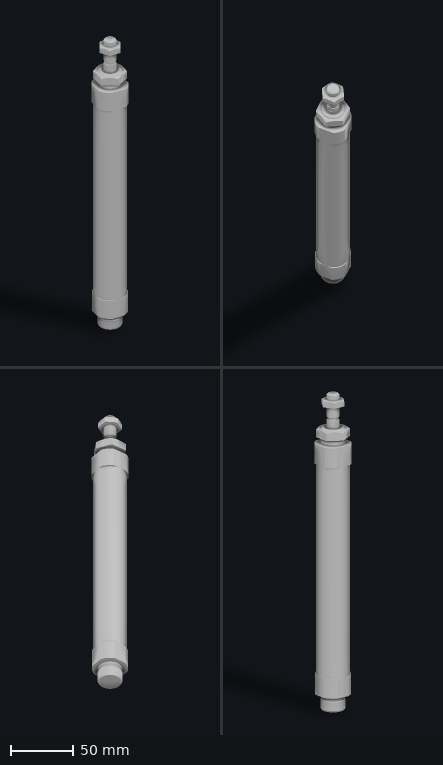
import cadquery as cq
import math

TOTAL_LENGTH = 265.5
REAR_CAP_BOTTOM = 13.3
FRONT_CAP_TOP = 223.7
CAP_LENGTH = 16.7
FRONT_THREAD_END = 237.0

TUBE_DIAMETER = 27.0
CAP_ACROSS_FLATS = 27.0
FRONT_CAP_ROUND_DIAMETER = 30.0
REAR_CAP_ROUND_DIAMETER = 29.0

MOUNT_THREAD_DIAMETER = 20.0
FRONT_RELIEF_DIAMETER = 17.0
REAR_RELIEF_DIAMETER = 18.3
MOUNT_TIP_DIAMETER = 18.3
MOUNT_TIP_CHAMFER_HEIGHT = 1.3
RELIEF_SHOULDER = 1.5
FRONT_RELIEF_WIDTH = 3.2
REAR_RELIEF_WIDTH = 3.2
ROD_RECESS_DIAMETER = 14.0
ROD_RECESS_DEPTH = 0.8

ROD_DIAMETER = 10.0
ROD_TIP_CHAMFER = 0.8
ROD_NECK_DIAMETER = 8.5
ROD_NECK_BOTTOM = 243.6
ROD_THREAD_START = 246.0
ROD_FLAT_BOTTOM = 238.9
ROD_ACROSS_FLATS = 9.0

ROD_NUT_ACROSS_CORNERS = 19.6
ROD_NUT_BOTTOM = 255.3
ROD_NUT_HEIGHT = 5.0
MOUNT_NUT_ACROSS_CORNERS = 27.5
MOUNT_NUT_BOTTOM = 229.0
MOUNT_NUT_HEIGHT = 7.2
NUT_CHAMFER_ANGLE = 30.0
HALF_HEX_ANGLE = 30.0


def cylinder(diameter, bottom, height):
    """Upright cylinder on the Z axis."""
    return cq.Workplane("XY").workplane(offset=bottom).circle(diameter / 2).extrude(height)


def turned(profile):
    """Solid of revolution from (radius, height) points that start and end on the Z axis."""
    return cq.Workplane("XZ").polyline(profile).close().revolve(360, (0, 0), (0, 1))


def end_cap(round_diameter, bottom):
    """Square cap whose four corners are rounded by a larger cylinder."""
    base = cq.Workplane("XY").workplane(offset=bottom)
    block = base.rect(CAP_ACROSS_FLATS, CAP_ACROSS_FLATS).extrude(CAP_LENGTH)
    return block.intersect(cylinder(round_diameter, bottom, CAP_LENGTH))


def mount_stud(length, relief_diameter, relief_width):
    """Threaded stud rising from Z = 0, with a chamfered relief groove near its root."""
    thread_radius = MOUNT_THREAD_DIAMETER / 2
    relief_radius = relief_diameter / 2
    slope = thread_radius - relief_radius
    groove_end = RELIEF_SHOULDER + relief_width
    return turned([
        (0, 0),
        (thread_radius, 0),
        (thread_radius, RELIEF_SHOULDER),
        (relief_radius, RELIEF_SHOULDER + slope),
        (relief_radius, groove_end - slope),
        (thread_radius, groove_end),
        (thread_radius, length - MOUNT_TIP_CHAMFER_HEIGHT),
        (MOUNT_TIP_DIAMETER / 2, length),
        (0, length),
    ])


def make_housing():
    """Tube with an end cap and a mounting stud at each end."""
    front_cap_bottom = FRONT_CAP_TOP - CAP_LENGTH
    rear_cap_top = REAR_CAP_BOTTOM + CAP_LENGTH
    tube = cylinder(TUBE_DIAMETER, rear_cap_top, front_cap_bottom - rear_cap_top)
    front_cap = end_cap(FRONT_CAP_ROUND_DIAMETER, front_cap_bottom)
    rear_cap = end_cap(REAR_CAP_ROUND_DIAMETER, REAR_CAP_BOTTOM)

    front_stud = mount_stud(FRONT_THREAD_END - FRONT_CAP_TOP, FRONT_RELIEF_DIAMETER, FRONT_RELIEF_WIDTH)
    front_stud = front_stud.translate((0, 0, FRONT_CAP_TOP))
    rear_stud = mount_stud(REAR_CAP_BOTTOM, REAR_RELIEF_DIAMETER, REAR_RELIEF_WIDTH)
    rear_stud = rear_stud.mirror("XY").translate((0, 0, REAR_CAP_BOTTOM))

    recess = cylinder(ROD_RECESS_DIAMETER, FRONT_THREAD_END - ROD_RECESS_DEPTH, ROD_RECESS_DEPTH)
    return tube.union(front_cap).union(rear_cap).union(front_stud).union(rear_stud).cut(recess)


def make_rod():
    """Piston rod standing on the recess floor, with wrench flats, a neck and a threaded end."""
    rod_radius = ROD_DIAMETER / 2
    neck_radius = ROD_NECK_DIAMETER / 2
    rod_bottom = FRONT_THREAD_END - ROD_RECESS_DEPTH
    rod = turned([
        (0, rod_bottom),
        (rod_radius, rod_bottom),
        (rod_radius, ROD_NECK_BOTTOM),
        (neck_radius, ROD_NECK_BOTTOM),
        (neck_radius, ROD_THREAD_START - (rod_radius - neck_radius)),
        (rod_radius, ROD_THREAD_START),
        (rod_radius, TOTAL_LENGTH - ROD_TIP_CHAMFER),
        (rod_radius - ROD_TIP_CHAMFER, TOTAL_LENGTH),
        (0, TOTAL_LENGTH),
    ])
    for side in (-1, 1):
        flat_cutter = (
            cq.Workplane("XY")
            .workplane(offset=ROD_FLAT_BOTTOM)
            .center(side * (ROD_ACROSS_FLATS + ROD_DIAMETER) / 2, 0)
            .rect(ROD_DIAMETER, 2 * ROD_DIAMETER)
            .extrude(ROD_NECK_BOTTOM - ROD_FLAT_BOTTOM)
        )
        rod = rod.cut(flat_cutter)
    return rod


def hex_nut(across_corners, bore_diameter, height, corner_angle):
    """Hexagon nut on Z = 0 with chamfered top corners; one corner points along corner_angle from +X."""
    corner_radius = across_corners / 2
    face_radius = corner_radius * math.cos(math.radians(HALF_HEX_ANGLE))
    chamfer_drop = (corner_radius - face_radius) * math.tan(math.radians(NUT_CHAMFER_ANGLE))
    prism = cq.Workplane("XY").polygon(6, across_corners).extrude(height)
    prism = prism.rotate((0, 0, 0), (0, 0, 1), corner_angle)
    chamfered_blank = turned([
        (0, 0),
        (corner_radius, 0),
        (corner_radius, height - chamfer_drop),
        (face_radius, height),
        (0, height),
    ])
    return prism.intersect(chamfered_blank).cut(cylinder(bore_diameter, 0, height))


def make_rod_nut():
    """Nut on the rod thread, with two corners on the Y axis."""
    nut = hex_nut(ROD_NUT_ACROSS_CORNERS, ROD_DIAMETER, ROD_NUT_HEIGHT, 90)
    return nut.translate((0, 0, ROD_NUT_BOTTOM))


def make_mount_nut():
    """Nut on the front mounting thread, with two corners on the X axis."""
    nut = hex_nut(MOUNT_NUT_ACROSS_CORNERS, MOUNT_THREAD_DIAMETER, MOUNT_NUT_HEIGHT, 0)
    return nut.translate((0, 0, MOUNT_NUT_BOTTOM))


housing = make_housing()
rod = make_rod()
rod_nut = make_rod_nut()
mount_nut = make_mount_nut()

result = cq.Compound.makeCompound([housing.val(), rod.val(), rod_nut.val(), mount_nut.val()])